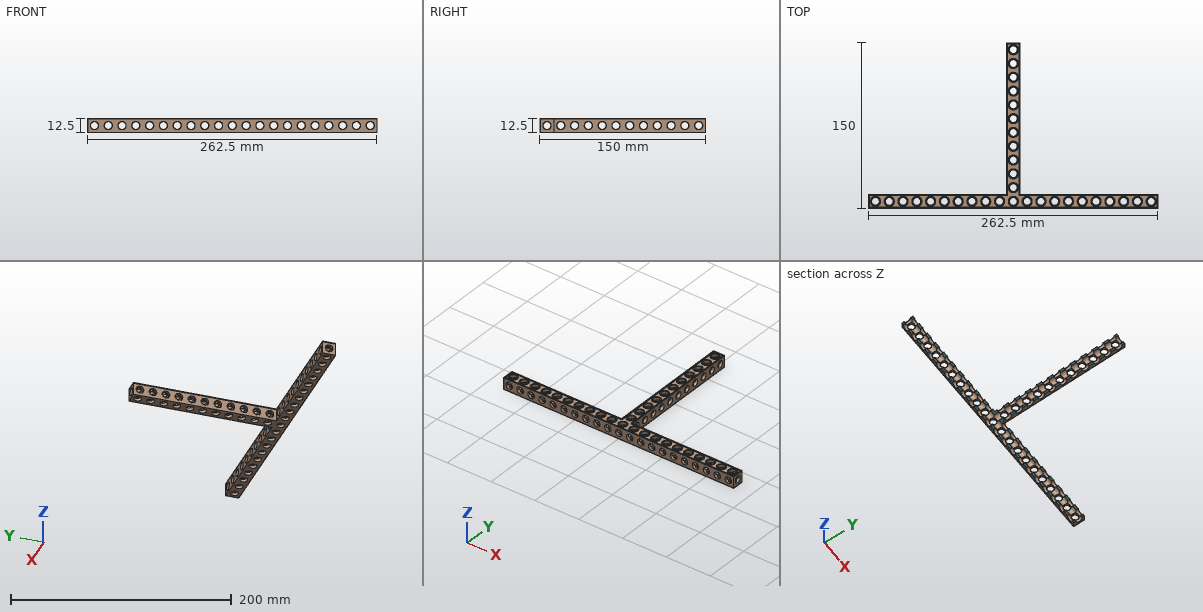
import cadquery as cq

BEAM_LENGTH = 262.5
HEIGHT = 12.5
CROSS_CELLS = 21
STEM_CELLS = 11
BORE_DIAMETER = 7.0
RING_DIAMETER = 9.2
RIM_WIDTH = 1.0
RECESS_DEPTH = 0.3

PITCH = BEAM_LENGTH / CROSS_CELLS
TOP = HEIGHT / 2
RECESS_FLOOR = TOP - RECESS_DEPTH
END_X = BEAM_LENGTH / 2
STEM_END_Y = (STEM_CELLS + 0.5) * PITCH

CROSS_X = [(i - (CROSS_CELLS - 1) / 2) * PITCH for i in range(CROSS_CELLS)]
STEM_Y = [i * PITCH for i in range(1, STEM_CELLS + 1)]
VERTICAL_HOLES = [(x, 0) for x in CROSS_X] + [(0, y) for y in STEM_Y]


def tee(inset, bottom, top):
    """T-shaped block whose outline is pulled in by inset on every side."""
    half_width = PITCH / 2 - inset
    bar_end = END_X - inset
    stem_end = STEM_END_Y - inset
    return (
        cq.Workplane("XY", origin=(0, 0, bottom))
        .moveTo(-bar_end, -half_width)
        .lineTo(bar_end, -half_width)
        .lineTo(bar_end, half_width)
        .lineTo(half_width, half_width)
        .lineTo(half_width, stem_end)
        .lineTo(-half_width, stem_end)
        .lineTo(-half_width, half_width)
        .lineTo(-bar_end, half_width)
        .close()
        .extrude(top - bottom)
    )


def vertical_cylinders(diameter, bottom, top):
    """One upright cylinder at every hole of the bar and the stem."""
    return (
        cq.Workplane("XY", origin=(0, 0, bottom))
        .pushPoints(VERTICAL_HOLES)
        .circle(diameter / 2)
        .extrude(top - bottom)
    )


def top_recess():
    """Shallow recess inside the rim, leaving the rings standing."""
    rings = vertical_cylinders(RING_DIAMETER, RECESS_FLOOR, TOP)
    return tee(RIM_WIDTH, RECESS_FLOOR, TOP).cut(rings)


def bores_along_y():
    """Bores through the bar from front to back; the middle one runs through the stem."""
    return (
        cq.Workplane("XZ")
        .pushPoints([(x, 0) for x in CROSS_X])
        .circle(BORE_DIAMETER / 2)
        .extrude(STEM_END_Y, both=True)
    )


def bores_along_x():
    """Bores through the stem from side to side, and one along the whole bar."""
    return (
        cq.Workplane("YZ")
        .pushPoints([(y, 0) for y in [0] + STEM_Y])
        .circle(BORE_DIAMETER / 2)
        .extrude(END_X, both=True)
    )


result = (
    tee(0, -TOP, TOP)
    .cut(top_recess())
    .cut(vertical_cylinders(BORE_DIAMETER, -TOP, TOP))
    .cut(bores_along_y())
    .cut(bores_along_x())
)